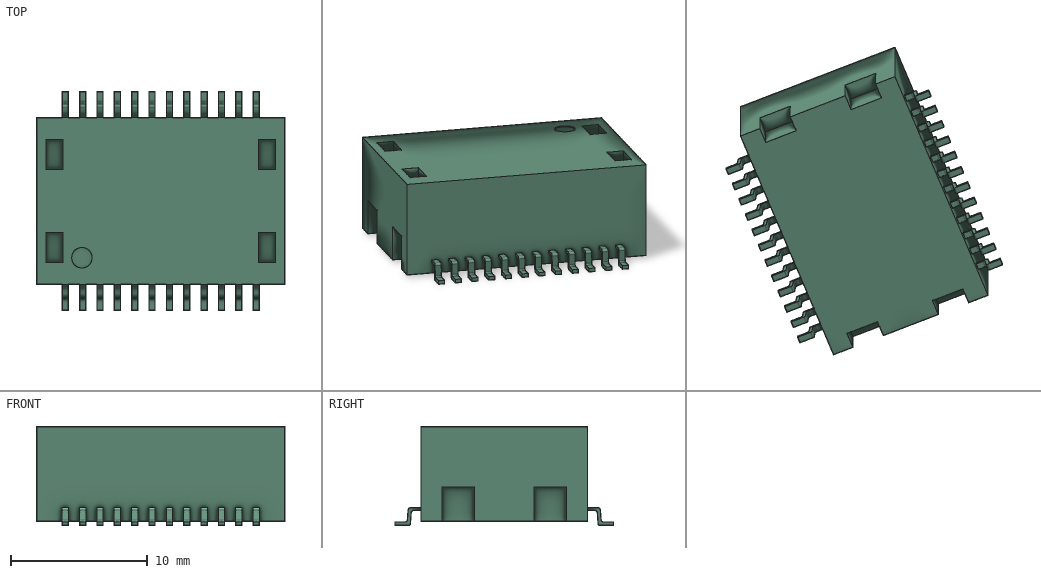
import cadquery as cq

body_length = 18.16
body_width = 12.2
overall_width = 16.0
overall_height = 7.24
standoff = 0.3
body_height = overall_height - standoff

pocket_length = 1.23
pocket_width = 2.2
pocket_depth = 1.0
pocket_end_gap = 0.68
pocket_side_gap = 1.6

notch_depth = 1.15
notch_width = 2.4
notch_height = 2.52
notch_side_gap = 1.53

mark_diameter = 1.5
mark_depth = 0.08
mark_center_from_end = 3.31
mark_center_from_side = 1.95

leads_per_side = 12
lead_pitch = 1.27
lead_width = 0.46
arm_thickness = 0.2
leg_thickness = 0.24
foot_thickness = 0.27
arm_top = 1.3
arm_length = 0.93
foot_length = 0.89
upper_bend_radius = 0.18
lower_bend_radius = 0.13


def make_body():
    """Plain rectangular housing block."""
    return (
        cq.Workplane("XY")
        .workplane(offset=standoff)
        .box(body_length, body_width, body_height, centered=(True, True, False))
    )


def corner_positions(end_distance, side_distance):
    """Four points mirrored about both axes, set in from the housing ends and sides."""
    x = body_length / 2 - end_distance
    y = body_width / 2 - side_distance
    return [(-x, -y), (-x, y), (x, -y), (x, y)]


def make_top_pockets():
    """Blind pockets near the four corners of the top face."""
    centers = corner_positions(
        pocket_end_gap + pocket_length / 2,
        pocket_side_gap + pocket_width / 2,
    )
    return (
        cq.Workplane("XY")
        .workplane(offset=overall_height - pocket_depth)
        .pushPoints(centers)
        .rect(pocket_length, pocket_width)
        .extrude(pocket_depth)
    )


def make_end_notches():
    """Notches open to the end faces and the underside."""
    centers = corner_positions(notch_depth / 2, notch_side_gap + notch_width / 2)
    return (
        cq.Workplane("XY")
        .workplane(offset=standoff)
        .pushPoints(centers)
        .rect(notch_depth, notch_width)
        .extrude(notch_height)
    )


def make_pin_one_mark():
    """Shallow disc removed from the top face."""
    return (
        cq.Workplane("XY")
        .workplane(offset=overall_height - mark_depth)
        .center(mark_center_from_end - body_length / 2, mark_center_from_side - body_width / 2)
        .circle(mark_diameter / 2)
        .extrude(mark_depth)
    )


def make_lead():
    """One lead on the +Y side, centred on X = 0, with a slightly leaning leg."""
    root_y = body_width / 2
    tip_y = overall_width / 2
    leg_top_y = root_y + arm_length
    leg_bottom_y = tip_y - foot_length
    outline = [
        (root_y, arm_top),
        (leg_top_y, arm_top),
        (leg_bottom_y, foot_thickness),
        (tip_y, foot_thickness),
        (tip_y, 0),
        (leg_bottom_y - leg_thickness, 0),
        (leg_top_y - leg_thickness, arm_top - arm_thickness),
        (root_y, arm_top - arm_thickness),
    ]
    bar = cq.Workplane("YZ").polyline(outline).close().extrude(lead_width / 2, both=True)

    bend_start_y = (root_y + leg_top_y - leg_thickness) / 2
    bend_end_y = (leg_bottom_y + tip_y) / 2
    mid_z = arm_top / 2
    lower_bend = cq.selectors.BoxSelector(
        (-lead_width, bend_start_y, -mid_z), (lead_width, bend_end_y, mid_z)
    )
    upper_bend = cq.selectors.BoxSelector(
        (-lead_width, bend_start_y, mid_z), (lead_width, bend_end_y, 2 * arm_top)
    )
    bar = bar.edges("|X").edges(lower_bend).fillet(lower_bend_radius)
    return bar.edges("|X").edges(upper_bend).fillet(upper_bend_radius)


def make_leads():
    """Both rows of leads at an even pitch."""
    back_lead = make_lead()
    front_lead = back_lead.mirror("XZ")
    first_x = -lead_pitch * (leads_per_side - 1) / 2
    leads = cq.Workplane("XY")
    for index in range(leads_per_side):
        x = first_x + index * lead_pitch
        for lead in (back_lead, front_lead):
            leads = leads.add(lead.translate((x, 0, 0)))
    return leads.combine()


result = (
    make_body()
    .cut(make_top_pockets())
    .cut(make_end_notches())
    .cut(make_pin_one_mark())
    .union(make_leads())
)